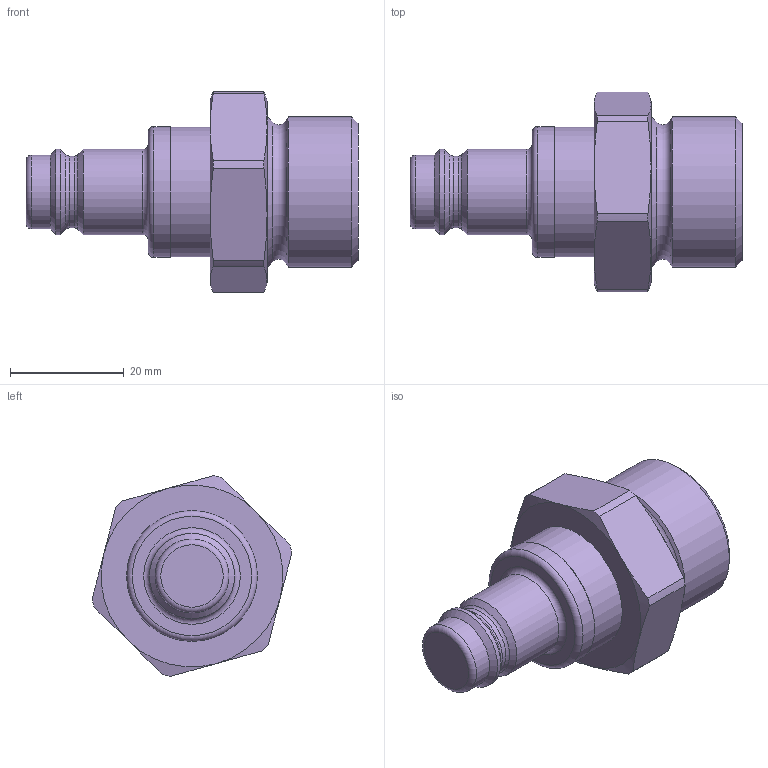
import cadquery as cq
import math

total_length = 58.4

tip_radius = 13.0 / 2
nose_radius = 15.0 / 2
edge_radius = 1.0
tip_step_x = 4.25

lock_groove_x = 8.05
lock_groove_floor_radius = 12.65 / 2
lock_groove_floor_width = 0.9
lock_groove_corner_radius = 0.9

shoulder_x = 21.5
shoulder_radius = 23.0 / 2
shoulder_length = 3.9
body_radius = 22.75 / 2

hex_length = 10.0
hex_across_flats = 32.0
hex_corner_radius = 36.1 / 2
hex_chamfer_angle = 15.0
hex_turn = 14.43
hex_half_angle = 30.0

thread_end_length = 16.0
thread_radius = 26.44 / 2
thread_chamfer = 1.2

undercut_offset = 2.05
undercut_floor_radius = 23.7 / 2
undercut_arc_radius = 1.5
undercut_hex_flank = 45.0
undercut_thread_flank = 60.0

hex_end_x = total_length - thread_end_length
hex_start_x = hex_end_x - hex_length


def arc_point(center_x, center_r, radius, degrees):
    """Point on a circle in the profile plane, at an angle from the +X direction."""
    angle = math.radians(degrees)
    return (center_x + radius * math.cos(angle), center_r + radius * math.sin(angle))


def add_lock_groove(profile):
    """Continue the profile from the nose surface across the locking groove."""
    corner = lock_groove_corner_radius
    half_floor = lock_groove_floor_width / 2
    center_r = lock_groove_floor_radius + corner
    left_x = lock_groove_x - half_floor
    right_x = lock_groove_x + half_floor
    left_tangent = arc_point(left_x, center_r, corner, 225)
    right_tangent = arc_point(right_x, center_r, corner, 315)
    flank = nose_radius - left_tangent[1]
    return (
        profile
        .lineTo(left_tangent[0] - flank, nose_radius)
        .lineTo(*left_tangent)
        .threePointArc(arc_point(left_x, center_r, corner, 247.5), (left_x, lock_groove_floor_radius))
        .lineTo(right_x, lock_groove_floor_radius)
        .threePointArc(arc_point(right_x, center_r, corner, 292.5), right_tangent)
        .lineTo(right_tangent[0] + flank, nose_radius)
    )


def add_shoulder(profile):
    """Continue the profile from the nose over the rounded shoulder to the body."""
    root_x = shoulder_x - edge_radius
    edge_x = shoulder_x + edge_radius
    root_r = nose_radius + edge_radius
    edge_r = shoulder_radius - edge_radius
    shoulder_end_x = shoulder_x + shoulder_length
    return (
        profile
        .lineTo(root_x, nose_radius)
        .threePointArc(arc_point(root_x, root_r, edge_radius, 315), (shoulder_x, root_r))
        .lineTo(shoulder_x, edge_r)
        .threePointArc(arc_point(edge_x, edge_r, edge_radius, 135), (edge_x, shoulder_radius))
        .lineTo(shoulder_end_x, shoulder_radius)
        .lineTo(shoulder_end_x, body_radius)
    )


def add_undercut(profile):
    """Continue the profile from the hexagon through the undercut to the thread surface."""
    center_x = hex_end_x + undercut_offset
    center_r = undercut_floor_radius + undercut_arc_radius
    hex_tangent = arc_point(center_x, center_r, undercut_arc_radius, 270 - undercut_hex_flank)
    thread_tangent = arc_point(center_x, center_r, undercut_arc_radius, 270 + undercut_thread_flank)
    hex_flank_rise = (hex_tangent[0] - hex_end_x) * math.tan(math.radians(undercut_hex_flank))
    thread_flank_run = (thread_radius - thread_tangent[1]) / math.tan(math.radians(undercut_thread_flank))
    return (
        profile
        .lineTo(hex_end_x, hex_tangent[1] + hex_flank_rise)
        .lineTo(*hex_tangent)
        .threePointArc((center_x, undercut_floor_radius), thread_tangent)
        .lineTo(thread_tangent[0] + thread_flank_run, thread_radius)
    )


def turned_body():
    tip_r = tip_radius - edge_radius
    profile = (
        cq.Workplane("XY")
        .moveTo(0, 0)
        .lineTo(0, tip_r)
        .threePointArc(arc_point(edge_radius, tip_r, edge_radius, 135), (edge_radius, tip_radius))
        .lineTo(tip_step_x, tip_radius)
        .lineTo(tip_step_x + nose_radius - tip_radius, nose_radius)
    )
    profile = add_lock_groove(profile)
    profile = add_shoulder(profile)
    profile = profile.lineTo(hex_end_x, body_radius)
    profile = add_undercut(profile)
    profile = (
        profile
        .lineTo(total_length - thread_chamfer, thread_radius)
        .lineTo(total_length, thread_radius - thread_chamfer)
        .lineTo(total_length, 0)
        .close()
    )
    return profile.revolve(360, (0, 0, 0), (1, 0, 0))


def hexagon():
    """Hexagonal collar with trimmed corners, chamfered conically at both faces."""
    across_corners = hex_across_flats / math.cos(math.radians(hex_half_angle))
    prism = (
        cq.Workplane("YZ")
        .workplane(offset=hex_start_x)
        .transformed(rotate=(0, 0, hex_turn + hex_half_angle))
        .polygon(6, across_corners)
        .extrude(hex_length)
    )
    face_radius = hex_across_flats / 2
    chamfer_run = (hex_corner_radius - face_radius) * math.tan(math.radians(hex_chamfer_angle))
    envelope = (
        cq.Workplane("XY")
        .moveTo(hex_start_x, 0)
        .lineTo(hex_start_x, face_radius)
        .lineTo(hex_start_x + chamfer_run, hex_corner_radius)
        .lineTo(hex_end_x - chamfer_run, hex_corner_radius)
        .lineTo(hex_end_x, face_radius)
        .lineTo(hex_end_x, 0)
        .close()
        .revolve(360, (0, 0, 0), (1, 0, 0))
    )
    return prism.intersect(envelope)


result = turned_body().union(hexagon())